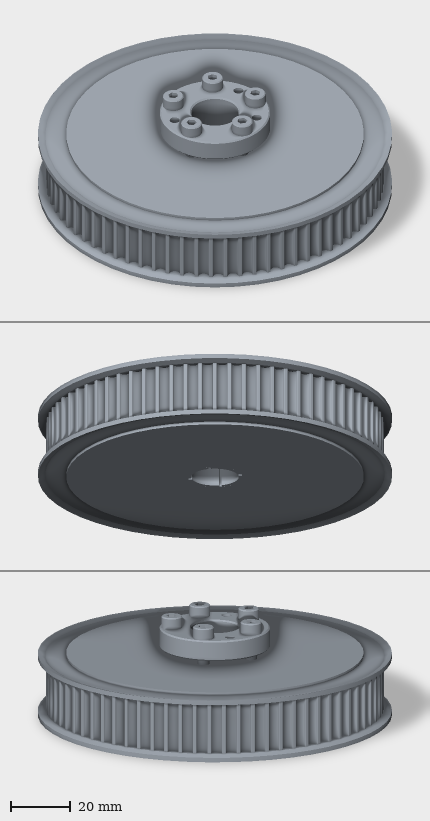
import cadquery as cq
import math

core_height = 22.0
core_top_radius = 50.0
bore_radius = 9.3

tooth_count = 72
tip_radius = 56.8
groove_depth = 2.0
groove_radius = 1.8
tip_fillet = 0.3
pitch_angle = 2 * math.pi / tooth_count

flange_radius = 59.5
flange_bend_radius = 57.0
flange_thickness = 1.5
flange_rim_rise = 0.7
flange_rim_gap = 0.27

bush_radius = 18.6
bush_bottom = 24.0
bush_top = 31.0
bush_bore_radius = 8.0
bush_chamfer = 0.5
collar_radius = 9.5
collar_height = 0.4
slit_width = 1.0
slit_top = 23.0
slit_count = 4

screw_count = 5
screw_circle_radius = 14.5
screw_step = 360 / screw_count
screw_angles = [90 + i * screw_step for i in range(screw_count)]
jack_hole_diameter = 3.3
jack_hole_angles = [54, 126, 270]
head_diameter = 7.0
head_height = 3.9
head_chamfer = 0.4
shank_diameter = 4.0
shank_length = 16.0
socket_flats = 3.0
socket_depth = 2.0
socket_cone_depth = 0.5

flange_stack = flange_rim_gap + flange_rim_rise + flange_thickness
band_bottom = flange_stack
band_top = core_height - flange_stack


def on_circle(radius, angle):
    """Point at a radius and an angle in radians."""
    return (radius * math.cos(angle), radius * math.sin(angle))


def on_screw_circle(angle):
    """Point on the screw pitch circle, angle in degrees."""
    return on_circle(screw_circle_radius, math.radians(angle))


def cylinder(radius, bottom, top):
    return cq.Workplane("XY").workplane(offset=bottom).circle(radius).extrude(top - bottom)


def make_tooth_band():
    """Toothed band: round-bottomed grooves with rounded tooth tips."""
    groove_centre = tip_radius - groove_depth + groove_radius
    fillet_ring = tip_radius - tip_fillet
    centre_gap = groove_radius + tip_fillet
    fillet_radial = (fillet_ring**2 + groove_centre**2 - centre_gap**2) / (2 * groove_centre)
    fillet_offset = math.sqrt(fillet_ring**2 - fillet_radial**2)
    fillet_angle = math.atan2(fillet_offset, fillet_radial)

    to_groove = math.atan2(-fillet_offset, groove_centre - fillet_radial)
    mid_direction = (fillet_angle + to_groove) / 2
    mid_radial = fillet_radial + tip_fillet * math.cos(mid_direction)
    mid_offset = fillet_offset + tip_fillet * math.sin(mid_direction)
    mouth_radial = fillet_radial + tip_fillet * math.cos(to_groove)
    mouth_offset = fillet_offset + tip_fillet * math.sin(to_groove)
    floor_radius = tip_radius - groove_depth

    def place(radial, offset, axis_angle):
        return on_circle(math.hypot(radial, offset), axis_angle + math.atan2(offset, radial))

    outline = cq.Workplane("XY").workplane(offset=band_bottom)
    outline = outline.moveTo(*on_circle(tip_radius, -fillet_angle))
    for i in range(tooth_count):
        axis = i * pitch_angle
        outline = (
            outline
            .threePointArc(place(mid_radial, -mid_offset, axis), place(mouth_radial, -mouth_offset, axis))
            .threePointArc(place(floor_radius, 0, axis), place(mouth_radial, mouth_offset, axis))
            .threePointArc(place(mid_radial, mid_offset, axis),
                           on_circle(tip_radius, axis + fillet_angle))
            .threePointArc(on_circle(tip_radius, axis + pitch_angle / 2),
                           on_circle(tip_radius, axis + pitch_angle - fillet_angle))
        )
    return outline.close().extrude(band_top - band_bottom)


def make_flange():
    """Upper flange; its flat ring rests on the toothed band."""
    flat_top = band_top + flange_thickness
    profile = [
        (core_top_radius, band_top),
        (flange_bend_radius, band_top),
        (flange_radius, band_top + flange_rim_rise),
        (flange_radius, flat_top + flange_rim_rise),
        (flange_bend_radius, flat_top),
        (core_top_radius, flat_top),
    ]
    return cq.Workplane("XZ").polyline(profile).close().revolve(360, (0, 0, 0), (0, 1, 0))


def make_screw():
    """Socket head screw with the underside of its head at the origin."""
    head = (
        cq.Workplane("XY").circle(head_diameter / 2).extrude(head_height)
        .faces(">Z").edges().chamfer(head_chamfer)
    )
    shank = cylinder(shank_diameter / 2, -shank_length, 0)
    socket_floor = head_height - socket_depth
    socket_corners = socket_flats / math.cos(math.pi / 6)
    socket = (
        cq.Workplane("XY").workplane(offset=socket_floor)
        .polygon(6, socket_corners).extrude(socket_depth)
    )
    drill_point = cq.Workplane("XY").add(
        cq.Solid.makeCone(0, socket_flats / 2, socket_cone_depth,
                          pnt=cq.Vector(0, 0, socket_floor - socket_cone_depth))
    )
    return head.union(shank).cut(socket).cut(drill_point)


def make_bush():
    """Clamping bush: drilled flange ring on a slit sleeve that fills the pulley bore."""
    ring = cylinder(bush_radius, bush_bottom, bush_top).edges().chamfer(bush_chamfer)
    collar = cylinder(collar_radius, bush_bottom - collar_height, bush_bottom)
    sleeve = cylinder(bore_radius, 0, bush_bottom)
    bush = ring.union(collar).union(sleeve).cut(cylinder(bush_bore_radius, 0, bush_top))
    bush = bush.faces(">Z").edges(cq.selectors.RadiusNthSelector(0)).chamfer(bush_chamfer)

    for i in range(slit_count):
        slit = (
            cq.Workplane("XY").box(collar_radius, slit_width, slit_top, centered=(False, True, False))
            .rotate((0, 0, 0), (0, 0, 1), i * 360 / slit_count)
        )
        bush = bush.cut(slit)

    for angles, diameter in ((screw_angles, shank_diameter), (jack_hole_angles, jack_hole_diameter)):
        for angle in angles:
            hole = cylinder(diameter / 2, bush_bottom, bush_top).translate((*on_screw_circle(angle), 0))
            bush = bush.cut(hole)
    return bush


def make_pulley():
    """Toothed core with a plain bore and blind holes for the screw ends."""
    pulley = make_tooth_band().union(cylinder(core_top_radius, 0, core_height))
    pulley = pulley.cut(cylinder(bore_radius, 0, core_height))
    for angle in screw_angles:
        hole = cylinder(shank_diameter / 2, bush_top - shank_length, core_height)
        pulley = pulley.cut(hole.translate((*on_screw_circle(angle), 0)))
    return pulley


pulley = make_pulley()
upper_flange = make_flange()
lower_flange = upper_flange.mirror("XY", (0, 0, core_height / 2))
bush = make_bush()
screws = [
    make_screw().rotate((0, 0, 0), (0, 0, 1), angle).translate((*on_screw_circle(angle), bush_top))
    for angle in screw_angles
]

result = cq.Compound.makeCompound(
    [pulley.val(), upper_flange.val(), lower_flange.val(), bush.val()]
    + [screw.val() for screw in screws]
)